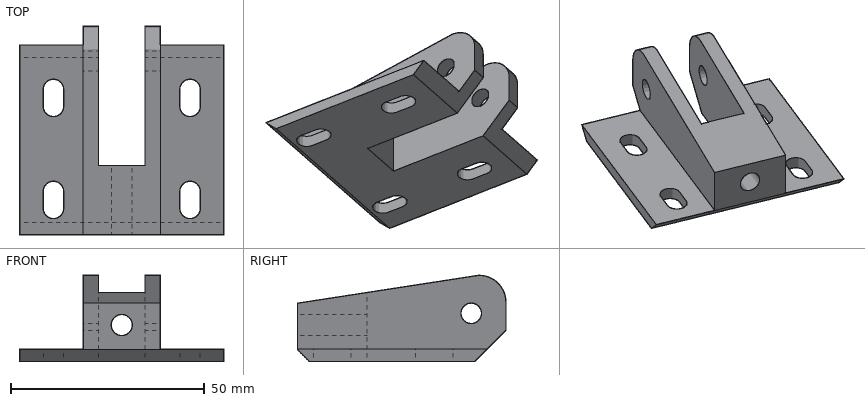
import cadquery as cq
import math

plate_width = 52.8
length = 54.0
height = 22.4

plate_thickness = 3.25
front_bevel = 3.15
rear_bevel = 8.1

block_width = 20.0
front_height = 15.2
lobe_radius = 7.0
lobe_y = length - lobe_radius
lobe_z = height - lobe_radius

gap_width = 12.0
gap_start = 18.0

pin_diameter = 5.25
pin_y = 45.0
pin_z = 12.55
front_hole_diameter = 5.4
front_hole_z = 9.5

slot_length = 9.6
slot_width = 5.25
slot_spacing_x = 35.35
slot_rows_y = (9.0, 35.4)


def extrude_profile(profile, width):
    """Extrude a closed YZ profile symmetrically about X = 0."""
    return profile.extrude(width / 2, both=True)


def make_block():
    """Block whose top slopes from the crest of the lobe arc down to the front face."""
    arc_offset = lobe_radius * math.sqrt(0.5)
    profile = (
        cq.Workplane("YZ")
        .moveTo(front_bevel, 0)
        .lineTo(length - rear_bevel, 0)
        .lineTo(length, rear_bevel)
        .lineTo(length, lobe_z)
        .threePointArc((lobe_y + arc_offset, lobe_z + arc_offset), (lobe_y, height))
        .lineTo(0, front_height)
        .lineTo(0, front_bevel)
        .close()
    )
    return extrude_profile(profile, block_width)


def make_plate():
    profile = (
        cq.Workplane("YZ")
        .moveTo(front_bevel, 0)
        .lineTo(length - rear_bevel, 0)
        .lineTo(length - rear_bevel + plate_thickness, plate_thickness)
        .lineTo(0, plate_thickness)
        .lineTo(0, front_bevel)
        .close()
    )
    return extrude_profile(profile, plate_width)


def make_gap():
    gap_length = length - gap_start
    return (
        cq.Workplane("XY")
        .center(0, gap_start + gap_length / 2)
        .rect(gap_width, gap_length)
        .extrude(height)
    )


def make_pin_hole():
    profile = cq.Workplane("YZ").center(pin_y, pin_z).circle(pin_diameter / 2)
    return extrude_profile(profile, block_width)


def make_front_hole():
    """Hole along Y from the front face into the gap."""
    return (
        cq.Workplane("XZ")
        .center(0, front_hole_z)
        .circle(front_hole_diameter / 2)
        .extrude(-gap_start)
    )


def make_mounting_slots():
    centres = [(side * slot_spacing_x / 2, y) for side in (-1, 1) for y in slot_rows_y]
    return (
        cq.Workplane("XY")
        .pushPoints(centres)
        .slot2D(slot_length, slot_width, 90)
        .extrude(plate_thickness)
    )


result = (
    make_block()
    .union(make_plate())
    .cut(make_gap())
    .cut(make_pin_hole())
    .cut(make_front_hole())
    .cut(make_mounting_slots())
)